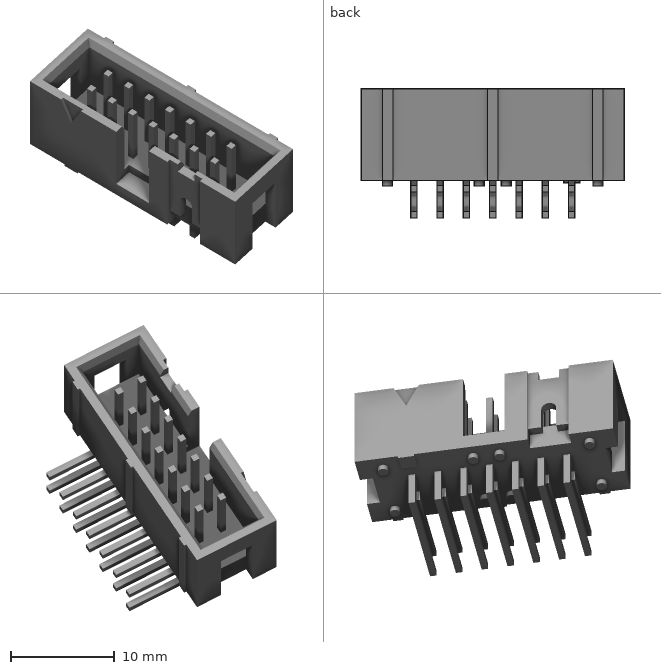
import cadquery as cq

LENGTH = 25.4
DEPTH = 8.92
HEIGHT = 8.9
OVERALL_HEIGHT = 12.52
FLOOR_TOP = 2.55
WALL_END = 1.27
WALL_FRONT = 1.3
WALL_BACK = 1.35

RIM_END = 0.81
RIM_SIDE = 0.9
LEAD_IN_HEIGHT = 0.69

PIN_COLUMNS = 7
PIN_ROWS = 2
PIN_PITCH = 2.55
PIN_SIZE = 0.64
PIN_TOP = 8.65
PIN_BOTTOM = HEIGHT - OVERALL_HEIGHT
PIN_TAIL_END = 13.7
FRONT_ROW_Y = 3.18

KEY_WIDTH = 4.06
KEY_BOTTOM = 1.52
KEY_DEPTH = 1.98

LATCH_X = 6.32
LATCH_WIDTH = 4.06
LATCH_RECESS = 0.38
LATCH_NOTCH_WIDTH = 2.05
LATCH_NOTCH_DEPTH = 1.02
LATCH_FOOT_HEIGHT = 1.7
LATCH_SLOT_WIDTH = 1.47
LATCH_SLOT_TOP = 4.7

WINDOW_WIDTH = 3.55
WINDOW_TOP = 6.43

MARK_X = -(PIN_COLUMNS - 1) / 2 * PIN_PITCH
MARK_WIDTH = 2.5
MARK_HEIGHT = 2.5
MARK_DEPTH = 0.3
TAB_SIZE = 1.57
TAB_HEIGHT = 0.23

RIB_SPACING = 10.15
RIB_WIDTH = 1.02
RIB_DEPTH = 0.25

FOOT_DIAMETER = 1.0
FOOT_HEIGHT = 0.53
FOOT_INSET = 1.42
FOOT_XS = (-10.15, -1.3, 1.3, 10.15)


def block(x_min, x_max, y_min, y_max, z_min, z_max):
    """Axis-aligned box between the given limits."""
    size = (x_max - x_min, y_max - y_min, z_max - z_min)
    return cq.Workplane("XY").box(*size, centered=False).translate((x_min, y_min, z_min))


def centred_block(x_mid, width, y_min, y_max, z_min, z_max):
    """Axis-aligned box centred on x_mid along X."""
    return block(x_mid - width / 2, x_mid + width / 2, y_min, y_max, z_min, z_max)


def cavity():
    """Straight-sided pocket with a lead-in slope at its mouth."""
    pocket_length = LENGTH - 2 * WALL_END
    pocket = centred_block(0, pocket_length, WALL_FRONT, DEPTH - WALL_BACK, FLOOR_TOP, HEIGHT)
    pocket_depth = DEPTH - WALL_FRONT - WALL_BACK
    pocket_mid_y = (WALL_FRONT + DEPTH - WALL_BACK) / 2
    lead_in = (
        cq.Workplane("XY", origin=(0, 0, HEIGHT - LEAD_IN_HEIGHT))
        .center(0, pocket_mid_y)
        .rect(pocket_length, pocket_depth)
        .workplane(offset=LEAD_IN_HEIGHT)
        .center(0, DEPTH / 2 - pocket_mid_y)
        .rect(LENGTH - 2 * RIM_END, DEPTH - 2 * RIM_SIDE)
        .loft(ruled=True)
    )
    return pocket.union(lead_in)


def latch_cuts():
    """Recess, top notch, open foot and arched slot of the latch panel."""
    recess = centred_block(LATCH_X, LATCH_WIDTH, 0, LATCH_RECESS, 0, HEIGHT)
    notch = centred_block(
        LATCH_X, LATCH_NOTCH_WIDTH, 0, WALL_FRONT, HEIGHT - LATCH_NOTCH_DEPTH, HEIGHT
    )
    foot = centred_block(LATCH_X, LATCH_WIDTH, 0, WALL_FRONT, 0, LATCH_FOOT_HEIGHT)
    radius = LATCH_SLOT_WIDTH / 2
    spring_line = LATCH_SLOT_TOP - radius
    slot = (
        cq.Workplane("XZ")
        .moveTo(LATCH_X - radius, 0)
        .lineTo(LATCH_X - radius, spring_line)
        .threePointArc((LATCH_X, LATCH_SLOT_TOP), (LATCH_X + radius, spring_line))
        .lineTo(LATCH_X + radius, 0)
        .close()
        .extrude(-WALL_FRONT)
    )
    return recess.union(notch).union(foot).union(slot)


def end_windows():
    """Openings through the two end walls, running down to the base."""
    y_min = (DEPTH - WINDOW_WIDTH) / 2
    y_max = y_min + WINDOW_WIDTH
    left = block(-LENGTH / 2, -LENGTH / 2 + WALL_END, y_min, y_max, 0, WINDOW_TOP)
    return left.union(left.mirror("YZ"))


def pin_one_triangle():
    """Triangle engraved in the front face, pointing down from the top edge."""
    return (
        cq.Workplane("XZ")
        .moveTo(MARK_X - MARK_WIDTH / 2, HEIGHT)
        .lineTo(MARK_X + MARK_WIDTH / 2, HEIGHT)
        .lineTo(MARK_X, HEIGHT - MARK_HEIGHT)
        .close()
        .extrude(-MARK_DEPTH)
    )


def bent_pin(x, y, bottom):
    """Square upright pin with a horizontal tail along its bottom end."""
    near_y = y - PIN_SIZE / 2
    upright = centred_block(x, PIN_SIZE, near_y, near_y + PIN_SIZE, bottom, PIN_TOP)
    tail = centred_block(x, PIN_SIZE, near_y, PIN_TAIL_END, bottom, bottom + PIN_SIZE)
    return upright.union(tail)


housing = centred_block(0, LENGTH, 0, DEPTH, 0, HEIGHT)
key_slot = centred_block(0, KEY_WIDTH, 0, KEY_DEPTH, KEY_BOTTOM, HEIGHT)
for opening in (cavity(), key_slot, latch_cuts(), end_windows(), pin_one_triangle()):
    housing = housing.cut(opening)

for rib_x in (-RIB_SPACING, 0, RIB_SPACING):
    housing = housing.union(centred_block(rib_x, RIB_WIDTH, DEPTH, DEPTH + RIB_DEPTH, 0, HEIGHT))

housing = housing.union(centred_block(MARK_X, TAB_SIZE, 0, TAB_SIZE, -TAB_HEIGHT, 0))
foot_places = [(x, y) for x in FOOT_XS for y in (FOOT_INSET, DEPTH - FOOT_INSET)]
feet = cq.Workplane("XY").pushPoints(foot_places).circle(FOOT_DIAMETER / 2).extrude(-FOOT_HEIGHT)
result = housing.union(feet)

for column in range(PIN_COLUMNS):
    pin_x = (column - (PIN_COLUMNS - 1) / 2) * PIN_PITCH
    for row in range(PIN_ROWS):
        offset = row * PIN_PITCH
        result = result.union(bent_pin(pin_x, FRONT_ROW_Y + offset, PIN_BOTTOM + offset))